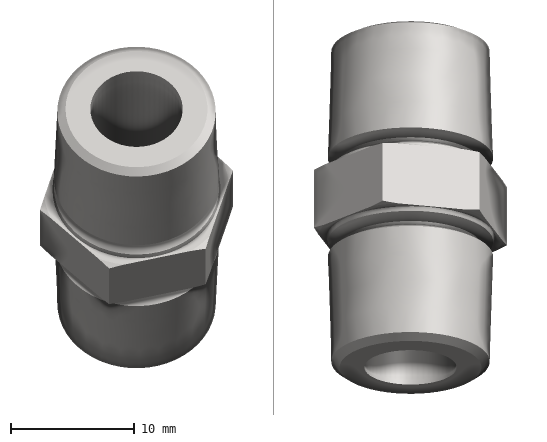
import cadquery as cq
import math

LENGTH = 28.0
ACROSS_FLATS = 14.0
BORE_RADIUS = 3.75

HEX_BOTTOM = 11.37
HEX_TOP = 16.63
HEX_FACE_RADIUS = 7.53
HEX_CHAMFER_DROP = 0.1

END_FACE_RADIUS = 5.77
TAPER_TIP_RADIUS = 6.45
TAPER_BASE_RADIUS = 6.72
TOP_CHAMFER_HEIGHT = 1.3
BOTTOM_CHAMFER_HEIGHT = 1.8

NECK_RADIUS = 5.85
NECK_HEIGHT = 1.0
COLLAR_ROOT_RADIUS = 6.83
COLLAR_EDGE_RADIUS = 6.72
COLLAR_HEIGHT = 1.3
COLLAR_WALL_HEIGHT = 1.9
TAPER_WALL_HEIGHT = 1.8


def tapered_end(hex_face, end_face, chamfer_height):
    """Revolved collar, undercut and taper running from a hexagon face to an end face."""
    direction = math.copysign(0.28, end_face - hex_face)
    collar_edge = hex_face + direction * COLLAR_HEIGHT
    neck_start = collar_edge + direction * COLLAR_WALL_HEIGHT
    neck_end = neck_start + direction * NECK_HEIGHT
    taper_base = neck_end + direction * TAPER_WALL_HEIGHT
    taper_tip = end_face - direction * chamfer_height
    profile = (
        cq.Workplane("XZ")
        .moveTo(0, hex_face)
        .lineTo(COLLAR_ROOT_RADIUS, hex_face)
        .lineTo(COLLAR_EDGE_RADIUS, collar_edge)
        .lineTo(NECK_RADIUS, neck_start)
        .lineTo(NECK_RADIUS, neck_end)
        .lineTo(TAPER_BASE_RADIUS, taper_base)
        .lineTo(TAPER_TIP_RADIUS, taper_tip)
        .lineTo(END_FACE_RADIUS, end_face)
        .lineTo(0, end_face)
        .close()
    )
    return profile.revolve(360, (0, 0), (0, 1))


def chamfered_hexagon():
    """Hexagon with corners on the X axis, its corners turned down by a shallow cone on both faces."""
    corner_radius = ACROSS_FLATS / math.sqrt(3)
    hexagon = (
        cq.Workplane("XY")
        .workplane(offset=HEX_BOTTOM)
        .polygon(6, 2 * corner_radius)
        .extrude(HEX_TOP - HEX_BOTTOM)
    )
    envelope = (
        cq.Workplane("XZ")
        .polyline([
            (0, HEX_BOTTOM),
            (HEX_FACE_RADIUS, HEX_BOTTOM),
            (corner_radius, HEX_BOTTOM + HEX_CHAMFER_DROP),
            (corner_radius, HEX_TOP - HEX_CHAMFER_DROP),
            (HEX_FACE_RADIUS, HEX_TOP),
            (0, HEX_TOP),
        ])
        .close()
        .revolve(360, (0, 0), (0, 1))
    )
    return hexagon.intersect(envelope)


top_end = tapered_end(HEX_TOP, LENGTH, TOP_CHAMFER_HEIGHT)
bottom_end = tapered_end(HEX_BOTTOM, 0, BOTTOM_CHAMFER_HEIGHT)
bore = cq.Workplane("XY").circle(BORE_RADIUS).extrude(LENGTH)

result = chamfered_hexagon().union(top_end).union(bottom_end).cut(bore)